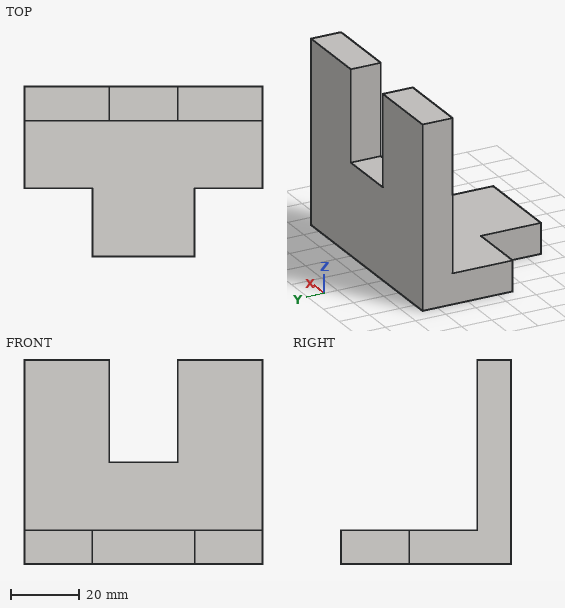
import cadquery as cq

width = 69.9
depth = 49.9
height = 59.9

thickness = 10.0

tongue_width = 30.0
tongue_length = 20.0

slot_width = 20.0
slot_depth = 30.0


def block(size_x, size_y, size_z, front_y, bottom_z):
    """Box centred on X, starting at the given front and bottom."""
    box = cq.Workplane("XY").box(size_x, size_y, size_z, centered=(True, False, False))
    return box.translate((0, front_y, bottom_z))


base = block(width, depth - tongue_length, thickness, tongue_length, 0)
tongue = block(tongue_width, depth, thickness, 0, 0)
wall = block(width, thickness, height, depth - thickness, 0)
slot = block(slot_width, thickness, slot_depth, depth - thickness, height - slot_depth)

result = base.union(tongue).union(wall).cut(slot).clean()